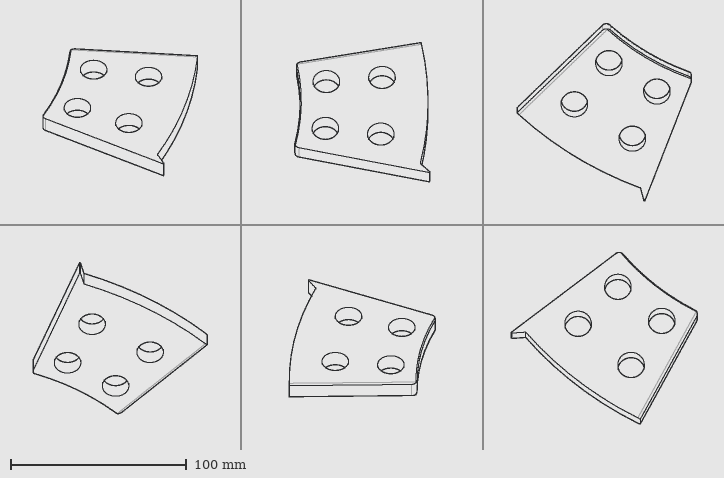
import cadquery as cq
import math

thickness = 9.5
center_x = -125.1
side_offset = 0.8
center_y = side_offset
inner_radius = 136.3
outer_radius = 209.1
sector_angle = 24.0
corner_radius = 3.2

spur_root_y = 5.1
spur_tip_x = 90.5
spur_tip_height = 0.6

hole_diameter = 15.1
hole_pitch_radii = (151.8, 183.6)
hole_half_angle = 6.1

side_bevel_width = 1.5
side_bevel_depth = 0.45
inner_bevel_width = 0.7
inner_bevel_depth = 0.9

clearance = 45.2


def polar_point(radius, angle):
    """Point at a radius and an angle in degrees about the ring centre."""
    radians = math.radians(angle)
    return (center_x + radius * math.cos(radians), center_y + radius * math.sin(radians))


def point_beside_upper_radial(radius, offset):
    """Point on a ring circle, at a signed distance from the upper radial line."""
    return polar_point(radius, sector_angle + math.degrees(math.asin(offset / radius)))


def point_at_height(radius, y):
    """Point on a ring circle at a given Y."""
    return polar_point(radius, math.degrees(math.asin((y - center_y) / radius)))


def make_plate():
    middle_angle = sector_angle / 2
    inner_lower = point_at_height(inner_radius, 0)
    inner_upper = point_beside_upper_radial(inner_radius, side_offset)
    outer_upper = point_beside_upper_radial(outer_radius, side_offset)
    plate = (
        cq.Workplane("XY")
        .moveTo(*inner_lower)
        .lineTo(spur_tip_x, 0)
        .lineTo(spur_tip_x, spur_tip_height)
        .lineTo(*point_at_height(outer_radius, spur_root_y))
        .threePointArc(polar_point(outer_radius, middle_angle), outer_upper)
        .lineTo(*inner_upper)
        .threePointArc(polar_point(inner_radius, middle_angle), inner_lower)
        .close()
        .extrude(thickness)
    )
    for x, y in (inner_lower, inner_upper):
        corner = cq.selectors.NearestToPointSelector((x, y, thickness / 2))
        plate = plate.edges("|Z").edges(corner).fillet(corner_radius)
    return plate


def beveled_profile(workplane, edge, far_side, bevel_width, bevel_depth):
    """Cross-section of a plate whose near edge is beveled above and below."""
    bevel_end = edge + math.copysign(bevel_width, far_side - edge)
    return workplane.polyline(
        [
            (edge, bevel_depth),
            (bevel_end, 0),
            (far_side, 0),
            (far_side, thickness),
            (bevel_end, thickness),
            (edge, thickness - bevel_depth),
        ]
    ).close()


def bevel_inner_arc(plate):
    envelope = beveled_profile(
        cq.Workplane("XZ"),
        inner_radius,
        outer_radius + clearance,
        inner_bevel_width,
        inner_bevel_depth,
    ).revolve(360, (0, 0), (0, 1))
    return plate.intersect(envelope.translate((center_x, center_y, 0)))


def bevel_upper_side(plate):
    reach = outer_radius + clearance
    envelope = (
        beveled_profile(
            cq.Workplane("YZ"),
            side_offset,
            -reach,
            side_bevel_width,
            side_bevel_depth,
        )
        .extrude(reach)
        .rotate((0, 0, 0), (0, 0, 1), sector_angle)
    )
    return plate.intersect(envelope.translate((center_x, center_y, 0)))


def cut_holes(plate):
    middle_angle = sector_angle / 2
    centers = [
        polar_point(radius, middle_angle + side * hole_half_angle)
        for radius in hole_pitch_radii
        for side in (-1, 1)
    ]
    cutters = (
        cq.Workplane("XY").pushPoints(centers).circle(hole_diameter / 2).extrude(thickness)
    )
    return plate.cut(cutters)


result = cut_holes(bevel_upper_side(bevel_inner_arc(make_plate())))